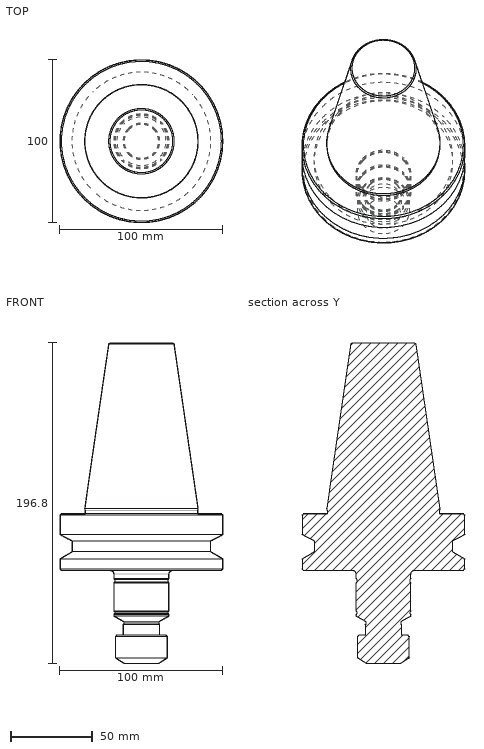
import cadquery as cq

total_height = 196.8
flange_bottom = 57.0
flange_top = 92.1
gauge_height = 95.0

gauge_radius = 34.8
taper_ratio = 7 / 48
tip_chamfer = 0.8
collar_radius = 34.6
collar_height = 2.0

flange_radius = 50.0
flange_chamfer = 1.0
grip_radius = 42.5
grip_lower_edge = 64.4
grip_floor_bottom = 68.7
grip_floor_top = 75.2
grip_upper_edge = 79.1

body_radius = 17.0
body_bottom = 29.1
body_fillet = 2.2
relief_depth = 0.5
relief_slope = 0.5
lower_relief_bottom = 30.3
lower_relief_top = 32.3
upper_relief_bottom = 49.5
upper_relief_top = 52.2

neck_radius = 11.2
neck_top = 26.0
neck_relief_bottom = 24.0
neck_relief_depth = 0.4
knob_radius = 16.0
knob_top = 17.7
knob_top_chamfer = 1.0
nose_radius = 10.5
nose_height = 3.5


def cylinder(radius, bottom, top):
    return cq.Workplane("XY").workplane(offset=bottom).circle(radius).extrude(top - bottom)


def revolve_profile(points):
    """Revolve (radius, height) points about Z, closing the outline on the axis."""
    outline = [(0, points[0][1])] + points + [(0, points[-1][1])]
    return cq.Workplane("XZ").polyline(outline).close().revolve(360, (0, 0), (0, 1))


def relief_groove(radius, depth, bottom, top, slope):
    """Shallow ring-shaped cutter with sloped side walls."""
    floor = radius - depth
    profile = [(radius, bottom), (floor, bottom + slope), (floor, top - slope), (radius, top)]
    return cq.Workplane("XZ").polyline(profile).close().revolve(360, (0, 0), (0, 1))


def make_knob():
    knob = revolve_profile([
        (nose_radius, 0),
        (knob_radius, nose_height),
        (knob_radius, knob_top),
    ])
    return knob.faces(">Z").edges().chamfer(knob_top_chamfer)


def make_neck():
    neck = cylinder(neck_radius, knob_top, neck_top)
    return neck.cut(relief_groove(
        neck_radius, neck_relief_depth, neck_relief_bottom, neck_top, neck_relief_depth))


def make_body():
    fillet_start = flange_bottom - body_fillet
    fillet_center = (body_radius + body_fillet, fillet_start)
    arc_offset = body_fillet * 0.5 ** 0.5
    arc_middle = (fillet_center[0] - arc_offset, fillet_center[1] + arc_offset)
    body = (
        cq.Workplane("XZ")
        .moveTo(0, neck_top)
        .lineTo(neck_radius, neck_top)
        .lineTo(body_radius, body_bottom)
        .lineTo(body_radius, fillet_start)
        .threePointArc(arc_middle, (fillet_center[0], flange_bottom))
        .lineTo(0, flange_bottom)
        .close()
        .revolve(360, (0, 0), (0, 1))
    )
    for bottom, top in [
        (lower_relief_bottom, lower_relief_top),
        (upper_relief_bottom, upper_relief_top),
    ]:
        body = body.cut(relief_groove(body_radius, relief_depth, bottom, top, relief_slope))
    return body


def make_flange():
    flange = revolve_profile([
        (flange_radius, flange_bottom),
        (flange_radius, grip_lower_edge),
        (grip_radius, grip_floor_bottom),
        (grip_radius, grip_floor_top),
        (flange_radius, grip_upper_edge),
        (flange_radius, flange_top),
    ])
    return flange.faces("<Z or >Z").edges().chamfer(flange_chamfer)


def make_shank():
    tip_radius = gauge_radius - (total_height - gauge_height) * taper_ratio
    shank = revolve_profile([
        (collar_radius, flange_top),
        (collar_radius, flange_top + collar_height),
        (gauge_radius, gauge_height),
        (tip_radius, total_height),
    ])
    return shank.faces(">Z").edges().chamfer(tip_chamfer)


result = make_flange().union(make_shank()).union(make_body()).union(make_neck()).union(make_knob())